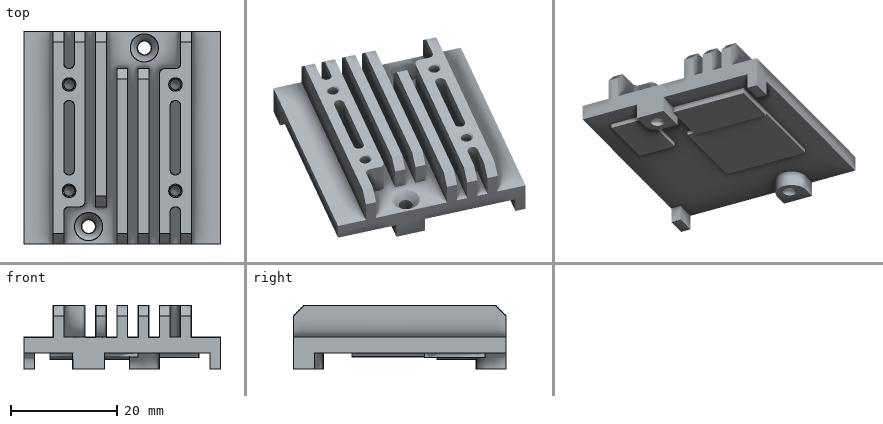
import cadquery as cq
import math

LENGTH_X = 37.0
LENGTH_Y = 40.0
HEIGHT = 12.0
HALF_X = LENGTH_X / 2
HALF_Y = LENGTH_Y / 2

PLATE_BOTTOM = 3.0
PLATE_TOP = 6.0

FIN = 2.0
FIN_PITCH = 2 * FIN
FIN_CHAMFER = 2.0
FIN_SHORT_END = 13.0
ROUND = FIN / 2

BLOCK_WIDTH = 3 * FIN
BLOCK_X = 10.0
SLOT_LENGTH = 14.0
BLIND_DIAMETER = 2.05
BLIND_RIM_CHAMFER = 0.25
BLIND_DEPTH = 4.8
BLIND_SPACING_Y = 20.0
DRILL_POINT_ANGLE = 118.0

FRONT_HOLE = (-6.3, -16.7)
BACK_HOLE = (4.15, 16.9)
THROUGH_DIAMETER = 2.6
COUNTERSINK_DIAMETER = 5.3
COUNTERSINK_ANGLE = 90.0

FOOT_X = 2.0
FOOT_Y = 4.0
BOSS_LENGTH = 5.65
FRONT_BOSS_WIDTH = 6.0
BACK_BOSS_WIDTH = 5.65
BACK_BOSS_LEFT = BACK_HOLE[0] - BACK_BOSS_WIDTH / 2
BACK_BOSS_RIGHT = BACK_HOLE[0] + BACK_BOSS_WIDTH / 2
BACK_BOSS_ROUND = 2.5

PAD_LEFT = -13.6
PAD_RIGHT = 14.4
MAIN_PAD_RIGHT = 3.0
MAIN_PAD_FRONT = -9.0
PAD_SPLIT_Y = 7.0
RIGHT_PAD_FRONT = 4.65
MAIN_PAD_THICKNESS = 0.7
BACK_PAD_THICKNESS = 1.15
RIGHT_PAD_THICKNESS = 0.85


def box(x_min, x_max, y_min, y_max, z_min, z_max):
    """Axis-aligned box given by its limits."""
    size = (x_max - x_min, y_max - y_min, z_max - z_min)
    return cq.Workplane("XY").box(*size, centered=False).translate((x_min, y_min, z_min))


def fin(x_center, y_min, y_max, width=FIN):
    """Upright wall with both upper ends chamfered."""
    body = box(x_center - width / 2, x_center + width / 2, y_min, y_max, PLATE_TOP, HEIGHT)
    return body.faces(">Z").edges("|X").chamfer(FIN_CHAMFER)


def mounting_block():
    """Left block: slotted wall with a rounded notch at the inner front corner."""
    block = fin(-BLOCK_X, -HALF_Y, HALF_Y, BLOCK_WIDTH)

    notch_x = -BLOCK_X - FIN / 2
    inner_x = -BLOCK_X + BLOCK_WIDTH / 2
    notch = box(notch_x, inner_x, -HALF_Y, -FIN_SHORT_END, PLATE_TOP, HEIGHT)
    notch = notch.edges("|Z and <X and >Y").fillet(ROUND)
    block = block.cut(notch)
    corner = cq.selectors.NearestToPointSelector((inner_x, -FIN_SHORT_END, (PLATE_TOP + HEIGHT) / 2))
    block = block.edges("|Z").edges(corner).fillet(ROUND)

    end_slot_length = 2 * (HALF_Y - FIN_SHORT_END)
    for slot_y, slot_length in ((0, SLOT_LENGTH), (HALF_Y, end_slot_length)):
        slot = (
            cq.Workplane("XY", origin=(-BLOCK_X, slot_y, PLATE_TOP))
            .slot2D(slot_length, FIN, 90)
            .extrude(HEIGHT - PLATE_TOP)
        )
        block = block.cut(slot)
    return block


def blind_hole(x, y):
    """Drilled hole with a chamfered rim and a conical bottom, made by turning its half profile."""
    radius = BLIND_DIAMETER / 2
    point_height = radius / math.tan(math.radians(DRILL_POINT_ANGLE / 2))
    return (
        cq.Workplane("XZ")
        .moveTo(0, HEIGHT)
        .lineTo(radius + BLIND_RIM_CHAMFER, HEIGHT)
        .lineTo(radius, HEIGHT - BLIND_RIM_CHAMFER)
        .lineTo(radius, HEIGHT - BLIND_DEPTH)
        .lineTo(0, HEIGHT - BLIND_DEPTH - point_height)
        .close()
        .revolve(360, (0, 0, 0), (0, 1, 0))
        .translate((x, y, 0))
    )


def upper_side():
    """Mounting blocks and the fins between them."""
    left_block = mounting_block()
    right_block = left_block.rotate((0, 0, 0), (0, 0, 1), 180)
    body = left_block.union(right_block)
    body = body.union(fin(-FIN_PITCH, -FIN_SHORT_END, HALF_Y))
    for x in (0, FIN_PITCH):
        body = body.union(fin(x, -HALF_Y, FIN_SHORT_END))
    return body


def feet():
    """Corner feet at the back left and the front right."""
    left_foot = box(-HALF_X, -HALF_X + FOOT_X, HALF_Y - FOOT_Y, HALF_Y, 0, PLATE_BOTTOM)
    return left_foot.union(left_foot.rotate((0, 0, 0), (0, 0, 1), 180))


def front_boss():
    """Boss around the front hole with a semicircular inner end."""
    half_width = FRONT_BOSS_WIDTH / 2
    x = FRONT_HOLE[0]
    arc_start_y = -HALF_Y + BOSS_LENGTH - half_width
    return (
        cq.Workplane("XY")
        .moveTo(x - half_width, -HALF_Y)
        .lineTo(x + half_width, -HALF_Y)
        .lineTo(x + half_width, arc_start_y)
        .threePointArc((x, -HALF_Y + BOSS_LENGTH), (x - half_width, arc_start_y))
        .close()
        .extrude(PLATE_BOTTOM)
    )


def back_boss():
    """Boss around the back hole with one rounded corner."""
    boss = box(BACK_BOSS_LEFT, BACK_BOSS_RIGHT, HALF_Y - BOSS_LENGTH, HALF_Y, 0, PLATE_BOTTOM)
    return boss.edges("|Z and >X and <Y").fillet(BACK_BOSS_ROUND)


def pads():
    """Three flat contact pads of different thickness."""
    pad_back = HALF_Y - FOOT_Y
    main_bottom = PLATE_BOTTOM - MAIN_PAD_THICKNESS
    back_bottom = PLATE_BOTTOM - BACK_PAD_THICKNESS
    right_bottom = PLATE_BOTTOM - RIGHT_PAD_THICKNESS
    main_pad = box(PAD_LEFT, MAIN_PAD_RIGHT, MAIN_PAD_FRONT, PAD_SPLIT_Y, main_bottom, PLATE_BOTTOM)
    back_pad = box(PAD_LEFT, BACK_BOSS_LEFT, PAD_SPLIT_Y, pad_back, back_bottom, PLATE_BOTTOM)
    right_pad = box(BACK_BOSS_RIGHT, PAD_RIGHT, RIGHT_PAD_FRONT, pad_back, right_bottom, PLATE_BOTTOM)
    return main_pad.union(back_pad).union(right_pad)


result = box(-HALF_X, HALF_X, -HALF_Y, HALF_Y, PLATE_BOTTOM, PLATE_TOP)
for section in (upper_side(), feet(), front_boss(), back_boss(), pads()):
    result = result.union(section)

for hole_x in (-BLOCK_X, BLOCK_X):
    for hole_y in (-BLIND_SPACING_Y / 2, BLIND_SPACING_Y / 2):
        result = result.cut(blind_hole(hole_x, hole_y))

result = (
    result.copyWorkplane(cq.Workplane("XY", origin=(0, 0, PLATE_TOP)))
    .pushPoints([FRONT_HOLE, BACK_HOLE])
    .cskHole(THROUGH_DIAMETER, COUNTERSINK_DIAMETER, COUNTERSINK_ANGLE)
)